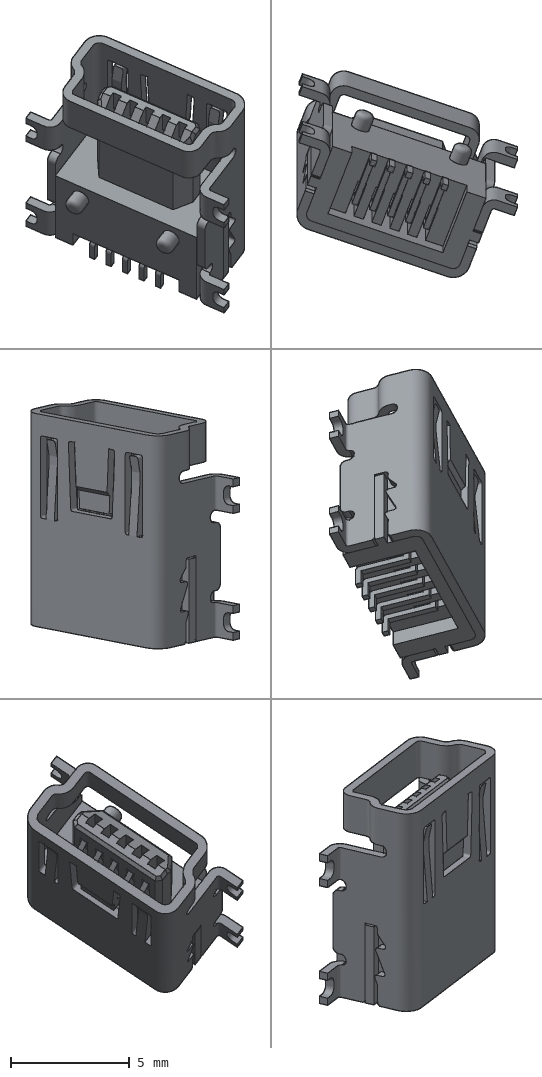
import cadquery as cq
import math

EPS = 0.1

wall = 0.41
shell_half_x = 3.84
shell_top_z = 9.2
back_y = 3.97
mouth_front_y = 0.08
mouth_height = 1.7
back_corner_r = 0.72
waist_half_x = 3.32
waist_top_y = 2.3
waist_bottom_y = 1.41
waist_outer_r = 0.67
front_corner_r = 0.6

foot_tip_x = 4.83
foot_thickness = 0.41
foot_bend_r = 0.12
foot_spans = [(0.0, 1.5), (5.48, 6.965)]
foot_margin = 0.34
notch_depth = 0.54
notch_corner_r = 0.3
tab_edge_y = 0.11
tab_corner_r = 0.29
tab_span = (2.0, 4.95)
relief_end_y = 0.74
mouth_relief_end_y = 2.695

barb_slot_top_z = 3.71
barb_slot_front_y = 1.66
barb_slot_back_y = 2.27
barb_slot_flare = 0.1
barb_slot_front_r = 0.07
barb_slot_back_r = 0.145
barb_r = 0.12
barb_recess_y = 2.77
barb_tip_y = 2.11
barb_z = 2.695
barb_step_y = 0.09
barb_tip_step_y = 0.03
barb_pitch = 1.275
upper_barb_start_z = 3.31
lower_barb_end_z = 0.95

window_inner_x = 1.92
window_outer_x = 2.91
window_bottom_z = 4.72
window_top_z = 8.28
window_corner_r = 0.12
finger_inner_x = 2.12
finger_outer_x = 2.59
finger_tip_z = 8.16
finger_reach = 0.19
finger_tip_reach = 0.04
finger_crest_span = (7.06, 7.44)

latch_top_half_x = 0.98
latch_end_half_x = 0.84
latch_slit = 0.34
latch_end_gap = 0.14
latch_end_z = 5.41
latch_nose_z = 6.2
latch_hinge_z = 6.39
latch_slope_reach = 0.18
latch_reach = 0.35

base_top_z = 3.98
tongue_top_z = 8.23
tongue_half_x = 2.32
tongue_front_half_x = 1.81
tongue_front_y = 0.93
tongue_side_y = 1.71
tongue_back_y = 2.53
tongue_back_chamfer = 0.22
tongue_tip_chamfer = 0.15
tip_flat_front_y = 1.9
tip_slope_end_z = 7.31
tail_recess_half_x = 2.58
tail_recess_z = 0.74
rib_front_y = barb_slot_front_y
rib_back_y = 2.09
rib_top_z = 3.63
peg_x = 2.2
peg_z = 3.265
peg_r = 0.4
peg_tip_y = -0.63
peg_tip_fillet = 0.2

contact_count = 5
contact_pitch = 0.8
contact_width = 0.25
contact_thickness = 0.26
contact_tail_z = -0.2
contact_bend_r = 0.18
contact_beam_y = 2.415
contact_bulge_y = 2.84
contact_bulge_start_z = 4.83
contact_bulge_z = 6.76
contact_tip_z = 7.2
contact_slot_width = 0.39
contact_slot_front_y = 1.46
contact_slot_back_y = 3.01
bridge_front_y = 2.13
bridge_bottom_z = 7.245

cavity_half_x = shell_half_x - wall
cavity_back_y = back_y - wall
mouth_bottom_z = shell_top_z - mouth_height
bend_start_y = foot_thickness + foot_bend_r
contact_xs = [(i - (contact_count - 1) / 2) * contact_pitch for i in range(contact_count)]


def box(x0, x1, y0, y1, z0, z1):
    """Box given by its limits along each axis."""
    return cq.Workplane("XY").box(x1 - x0, y1 - y0, z1 - z0, centered=False).translate((x0, y0, z0))


def tapered_plate(top_half_x, bottom_half_x, bottom_z, depth):
    """Trapezoid symmetric about X = 0, extruded forward from just behind the shell's back face."""
    return (
        cq.Workplane("XZ", origin=(0, back_y + EPS, 0))
        .polyline([
            (-top_half_x, window_top_z),
            (top_half_x, window_top_z),
            (bottom_half_x, bottom_z),
            (-bottom_half_x, bottom_z),
        ])
        .close()
        .extrude(depth)
    )


def plate_yz(outline, x0, x1):
    """Polygon of (y, z) points extruded from x0 to x1."""
    return cq.Workplane("YZ").workplane(offset=x0).polyline(outline).close().extrude(x1 - x0)


def both_sides(solid):
    """A feature on the +X side together with its mirror image."""
    return solid.union(solid.mirror("YZ"))


def mouth_outline():
    """Outer D-shaped outline; two tangent arcs on each side narrow it to the waist."""
    shift_x = shell_half_x - waist_half_x
    drop_y = waist_top_y - waist_bottom_y
    turn = 2 * math.atan(shift_x / drop_y)
    hollow_r = drop_y / math.sin(turn) - waist_outer_r
    joint_x = shell_half_x - waist_outer_r * (1 - math.cos(turn))
    joint_y = waist_top_y - waist_outer_r * math.sin(turn)
    r_back = back_corner_r
    r_front = front_corner_r
    return (
        cq.Workplane("XY")
        .moveTo(-shell_half_x + r_back, back_y)
        .lineTo(shell_half_x - r_back, back_y)
        .radiusArc((shell_half_x, back_y - r_back), r_back)
        .lineTo(shell_half_x, waist_top_y)
        .radiusArc((joint_x, joint_y), waist_outer_r)
        .radiusArc((waist_half_x, waist_bottom_y), -hollow_r)
        .lineTo(waist_half_x, mouth_front_y + r_front)
        .radiusArc((waist_half_x - r_front, mouth_front_y), r_front)
        .lineTo(-waist_half_x + r_front, mouth_front_y)
        .radiusArc((-waist_half_x, mouth_front_y + r_front), r_front)
        .lineTo(-waist_half_x, waist_bottom_y)
        .radiusArc((-joint_x, joint_y), -hollow_r)
        .radiusArc((-shell_half_x, waist_top_y), waist_outer_r)
        .lineTo(-shell_half_x, back_y - r_back)
        .radiusArc((-shell_half_x + r_back, back_y), r_back)
        .close()
    )


def make_mouth():
    outer = mouth_outline().extrude(mouth_height)
    inner = mouth_outline().offset2D(-wall).extrude(mouth_height)
    return outer.cut(inner).translate((0, 0, mouth_bottom_z))


def rounded_back_block(half_x, front_y, rear_y, corner_r, height):
    """Block with its two back corners rounded."""
    return box(-half_x, half_x, front_y, rear_y, 0, height).edges("|Z and >Y").fillet(corner_r)


def make_channel():
    """Back plate and two side walls below the mouth."""
    outer = rounded_back_block(shell_half_x, bend_start_y, back_y, back_corner_r, mouth_bottom_z)
    inner = rounded_back_block(
        cavity_half_x, bend_start_y - EPS, cavity_back_y, back_corner_r - wall, mouth_bottom_z
    )
    return outer.cut(inner)


def make_edge_tab():
    tab = box(cavity_half_x, shell_half_x, tab_edge_y, bend_start_y + EPS, *tab_span)
    return tab.edges("|X and <Y").fillet(tab_corner_r)


def make_foot(z0, z1):
    """Solder foot bent outward from the side wall, with a notch in its end."""
    outer_r = foot_bend_r + foot_thickness
    height = z1 - z0
    foot = (
        cq.Workplane("XY")
        .moveTo(cavity_half_x, bend_start_y)
        .radiusArc((cavity_half_x + outer_r, 0), -outer_r)
        .lineTo(foot_tip_x, 0)
        .lineTo(foot_tip_x, foot_thickness)
        .lineTo(shell_half_x + foot_bend_r, foot_thickness)
        .radiusArc((shell_half_x, bend_start_y), foot_bend_r)
        .close()
        .extrude(height)
        .translate((0, 0, z0))
    )
    notch = box(
        foot_tip_x - notch_depth, foot_tip_x + EPS, -EPS, foot_thickness + EPS,
        z0 + foot_margin, z1 - foot_margin,
    )
    return foot.cut(notch.edges("|Y and <X").fillet(notch_corner_r))


def relief_slot(z0, z1, end_y):
    """Slot through both side walls, open at the front and round at its end."""
    radius = (z1 - z0) / 2
    straight = box(-foot_tip_x, foot_tip_x, -EPS, end_y - radius, z0, z1)
    round_end = (
        cq.Workplane("YZ").center(end_y - radius, z0 + radius).circle(radius).extrude(foot_tip_x, both=True)
    )
    return straight.union(round_end)


def make_barb_slot():
    """Open-ended slot in the side wall with two barbs along its back edge."""
    flare = barb_slot_flare
    lower_barb_z = barb_z - barb_pitch
    outline = [
        (barb_slot_front_y - flare - EPS, -EPS),
        (barb_slot_front_y, flare),
        (barb_slot_front_y, barb_slot_top_z),
        (barb_slot_back_y, barb_slot_top_z),
        (barb_slot_back_y, upper_barb_start_z),
        (barb_recess_y, barb_z),
        (barb_tip_y, barb_z),
        (barb_recess_y - barb_step_y, lower_barb_z),
        (barb_tip_y - barb_tip_step_y, lower_barb_z),
        (barb_slot_back_y, lower_barb_end_z),
        (barb_slot_back_y, flare),
        (barb_slot_back_y + flare + EPS, -EPS),
    ]
    slot = plate_yz(outline, cavity_half_x - EPS, shell_half_x + EPS)
    barbs = cq.selectors.BoxSelector(
        (0, rib_back_y - EPS, flare + EPS), (foot_tip_x, back_y, barb_slot_top_z - EPS)
    )
    slot = slot.edges("|X").edges(barbs).fillet(barb_r)
    slot = slot.edges("|X").edges(">Z").edges(">Y").fillet(barb_slot_back_r)
    return slot.edges("|X").edges("<Y").edges(">Z").fillet(barb_slot_front_r)


def make_window():
    """Window in the back plate around a spring finger."""
    window = box(
        window_inner_x, window_outer_x, cavity_back_y - EPS, back_y + EPS, window_bottom_z, window_top_z
    )
    return window.edges("|Y").fillet(window_corner_r)


def make_finger():
    """Spring finger that rises from the window's lower edge and bows into the cavity."""
    crest_z0, crest_z1 = finger_crest_span
    crest_y = cavity_back_y - finger_reach
    tip_y = cavity_back_y - finger_tip_reach
    front = [
        (cavity_back_y, window_bottom_z),
        (crest_y, crest_z0),
        (crest_y, crest_z1),
        (tip_y, finger_tip_z),
    ]
    rear = [(y + wall, z) for y, z in reversed(front)]
    return plate_yz(front + rear, finger_inner_x, finger_outer_x).edges("|Y and >Z").fillet(window_corner_r)


def make_latch_opening():
    """Tapered opening in the back plate around the central latch."""
    opening = tapered_plate(
        latch_top_half_x + latch_slit, latch_end_half_x + latch_slit, latch_end_z - latch_end_gap, wall + 2 * EPS
    )
    return opening.edges("|Y").fillet(window_corner_r)


def make_latch():
    """Central latch hanging from the opening's upper edge, with a rounded nose at its free end."""
    slope_y = cavity_back_y - latch_slope_reach
    crest_z = (latch_nose_z + latch_end_z) / 2
    side = (
        cq.Workplane("YZ")
        .moveTo(cavity_back_y, window_top_z)
        .lineTo(cavity_back_y, latch_hinge_z)
        .lineTo(slope_y, latch_nose_z)
        .threePointArc((cavity_back_y - latch_reach, crest_z), (slope_y, latch_end_z))
        .lineTo(slope_y + wall, latch_end_z)
        .lineTo(slope_y + wall, latch_nose_z)
        .lineTo(back_y, latch_hinge_z)
        .lineTo(back_y, window_top_z)
        .close()
        .extrude(latch_top_half_x, both=True)
    )
    taper = tapered_plate(latch_top_half_x, latch_end_half_x, latch_end_z, back_y)
    return side.intersect(taper)


def make_shell():
    shell = make_mouth().union(make_channel()).union(both_sides(make_edge_tab()))
    for z0, z1 in foot_spans:
        shell = shell.union(both_sides(make_foot(z0, z1)))
    shell = shell.cut(relief_slot(foot_spans[0][1], tab_span[0], relief_end_y))
    shell = shell.cut(relief_slot(tab_span[1], foot_spans[1][0], relief_end_y))
    shell = shell.cut(relief_slot(foot_spans[1][1], mouth_bottom_z, mouth_relief_end_y))
    shell = shell.cut(both_sides(make_barb_slot()))
    shell = shell.cut(both_sides(make_window())).union(both_sides(make_finger()))
    return shell.cut(make_latch_opening()).union(make_latch())


def make_tongue():
    """Tongue narrowed toward the front, with chamfered back corners and a sloped, chamfered tip."""
    back_half_x = tongue_half_x - tongue_back_chamfer
    half = [
        (tongue_front_half_x, tongue_front_y),
        (tongue_half_x, tongue_side_y),
        (tongue_half_x, tongue_back_y - tongue_back_chamfer),
        (back_half_x, tongue_back_y),
    ]
    outline = half + [(-x, y) for x, y in reversed(half)]
    tongue = cq.Workplane("XY").polyline(outline).close().extrude(tongue_top_z)
    slope = plate_yz(
        [(tip_flat_front_y, tongue_top_z), (tongue_front_y, tip_slope_end_z), (tongue_front_y, tongue_top_z)],
        -tongue_half_x, tongue_half_x,
    )
    tongue = tongue.cut(slope)
    above_sides = cq.selectors.BoxSelector(
        (-foot_tip_x, 0, tip_slope_end_z - EPS), (foot_tip_x, back_y, tongue_top_z + EPS)
    )
    ridge = cq.selectors.NearestToPointSelector((0, tip_flat_front_y, tongue_top_z))
    upright = cq.selectors.ParallelDirSelector(cq.Vector(0, 0, 1))
    return tongue.edges(above_sides - upright - ridge).chamfer(tongue_tip_chamfer)


def make_peg(x):
    length = mouth_front_y - peg_tip_y
    peg = cq.Workplane("XZ", origin=(x, mouth_front_y, peg_z)).circle(peg_r).extrude(length)
    return peg.faces("<Y").edges().fillet(peg_tip_fillet)


def make_contact_slot(x):
    """Slot for one contact, through the base and the tongue, leaving a bridge at the tip."""
    x0 = x - contact_slot_width / 2
    x1 = x + contact_slot_width / 2
    lower = box(x0, x1, contact_slot_front_y, contact_slot_back_y, -EPS, bridge_bottom_z)
    tip = box(x0, x1, contact_slot_front_y, bridge_front_y, 0, tongue_top_z + EPS)
    return lower.union(tip)


def make_housing():
    base = rounded_back_block(cavity_half_x, mouth_front_y, cavity_back_y, back_corner_r - wall, base_top_z)
    rib = box(cavity_half_x, shell_half_x, rib_front_y, rib_back_y, 0, rib_top_z)
    housing = base.union(make_tongue()).union(both_sides(rib))
    for x in (-peg_x, peg_x):
        housing = housing.union(make_peg(x))
    housing = housing.cut(
        box(-tail_recess_half_x, tail_recess_half_x, 0, contact_slot_back_y, -EPS, tail_recess_z)
    )
    for x in contact_xs:
        housing = housing.cut(make_contact_slot(x))
    return housing


def make_contact(x):
    """Board tail, leg under the base, upright beam and a bulge behind the tongue."""
    t = contact_thickness
    return (
        cq.Workplane("YZ", origin=(x, 0, 0))
        .moveTo(0, contact_tail_z)
        .lineTo(0, tail_recess_z - contact_bend_r)
        .radiusArc((contact_bend_r, tail_recess_z), contact_bend_r)
        .lineTo(contact_beam_y - t, tail_recess_z)
        .lineTo(contact_beam_y - t, contact_bulge_start_z)
        .lineTo(contact_bulge_y - t, contact_bulge_z)
        .lineTo(contact_beam_y - t, contact_tip_z)
        .lineTo(contact_beam_y, contact_tip_z)
        .lineTo(contact_bulge_y, contact_bulge_z)
        .lineTo(contact_beam_y, contact_bulge_start_z)
        .lineTo(contact_beam_y, tail_recess_z - t)
        .lineTo(t, tail_recess_z - t)
        .lineTo(t, contact_tail_z)
        .close()
        .extrude(contact_width / 2, both=True)
    )


shell = make_shell()
housing = make_housing()
contacts = [make_contact(x).val() for x in contact_xs]
result = cq.Compound.makeCompound([shell.val(), housing.val(), *contacts])